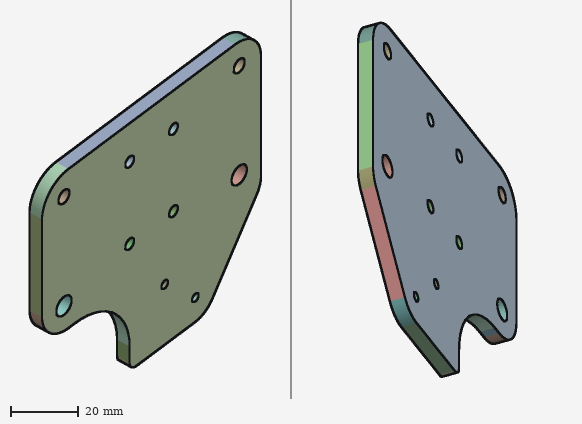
import cadquery as cq

thickness = 5.0
width = 100.0
height = 96.5

corner_radius = 12.0
shoulder_z = 34.5
foot_side_y = 40.0
notch_radius = 25.0
foot_corner_radius = 3.0
slope_start_z = 34.4
slope_end_y = 74.8
slope_corner_radius = 10.0

mount_edge_offset = 10.0
upper_mount_diameter = 5.0
upper_mount_z = 87.0
lower_mount_diameter = 7.0
lower_mount_z = 44.5
pattern_diameter = 4.0
pattern_spacing_y = 20.0
pattern_spacing_z = 32.0
pattern_bottom_z = 49.5
foot_hole_diameter = 3.0
foot_hole_points = [(56.0, 23.5), (70.0, 9.5)]


def make_plate():
    """Extrude the sharp-cornered outline, then round its corners."""
    notch_top_y = foot_side_y - notch_radius
    notch_bottom_z = shoulder_z - notch_radius
    plate = (
        cq.Workplane("YZ")
        .moveTo(0, shoulder_z)
        .lineTo(0, height)
        .lineTo(width, height)
        .lineTo(width, slope_start_z)
        .lineTo(slope_end_y, 0)
        .lineTo(foot_side_y, 0)
        .lineTo(foot_side_y, notch_bottom_z)
        .radiusArc((notch_top_y, shoulder_z), -notch_radius)
        .close()
        .extrude(thickness)
    )
    rounded_corners = [
        (0, shoulder_z, corner_radius),
        (0, height, corner_radius),
        (width, height, corner_radius),
        (width, slope_start_z, slope_corner_radius),
        (slope_end_y, 0, slope_corner_radius),
        (foot_side_y, 0, foot_corner_radius),
    ]
    for y, z, radius in rounded_corners:
        corner_edge = cq.NearestToPointSelector((thickness / 2, y, z))
        plate = plate.edges("|X").edges(corner_edge).fillet(radius)
    return plate


def drill(plate, points, diameter):
    """Cut through holes at the given (Y, Z) points."""
    holes = cq.Workplane("YZ").pushPoints(points).circle(diameter / 2).extrude(thickness)
    return plate.cut(holes)


mount_ys = [mount_edge_offset, width - mount_edge_offset]
pattern_ys = [(width - pattern_spacing_y) / 2, (width + pattern_spacing_y) / 2]
pattern_zs = [pattern_bottom_z, pattern_bottom_z + pattern_spacing_z]

result = make_plate()
result = drill(result, [(y, upper_mount_z) for y in mount_ys], upper_mount_diameter)
result = drill(result, [(y, lower_mount_z) for y in mount_ys], lower_mount_diameter)
result = drill(result, [(y, z) for y in pattern_ys for z in pattern_zs], pattern_diameter)
result = drill(result, foot_hole_points, foot_hole_diameter)